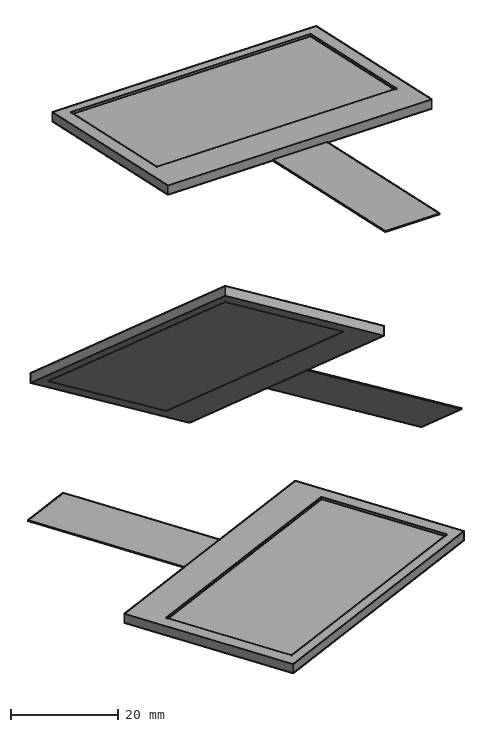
import cadquery as cq

total_length = 73.0
housing_width = 60.5
housing_height = 2.0

housing_length = 37.0
window_length = 27.5
window_width = 55.0
window_end_margin = 2.05
window_side_margin = (housing_width - window_width) / 2

screen_recess = 0.5
screen_thickness = housing_height - screen_recess

cable_length = total_length - housing_length
cable_width = 12.5
cable_thickness = 0.2


def make_block(length, width, height, x_start, y_start):
    """Rectangular block standing on the underside plane, placed by its lowest X and Y corner."""
    block = cq.Workplane("XY").box(length, width, height, centered=False)
    return block.translate((x_start, y_start, 0))


def make_window_block(height):
    """Block with the outline and place of the window."""
    return make_block(window_length, window_width, height, window_end_margin, window_side_margin)


def make_housing():
    plate = make_block(housing_length, housing_width, housing_height, 0, 0)
    return plate.cut(make_window_block(housing_height))


def make_screen():
    return make_window_block(screen_thickness)


def make_cable():
    y_start = (housing_width - cable_width) / 2
    return make_block(cable_length, cable_width, cable_thickness, housing_length, y_start)


housing = make_housing()
screen = make_screen()
cable = make_cable()

result = cq.Compound.makeCompound([housing.val(), screen.val(), cable.val()])